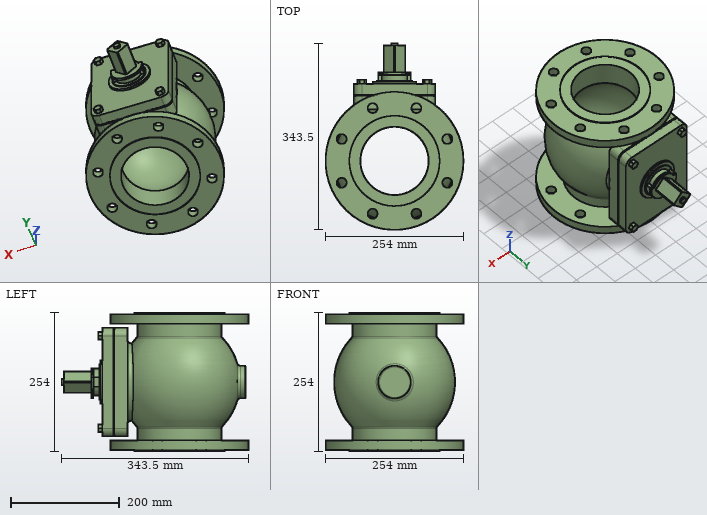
import cadquery as cq
import math

face_to_face = 254.0
bore_radius = 125.0 / 2
cavity_radius = 99.0
ball_radius = 111.5
meridian_radius = 118.0
meridian_centre = ball_radius - meridian_radius
neck_radius = 155.0 / 2
neck_fillet = 4.0

flange_radius = 254.0 / 2
flange_thickness = 18.0
raised_face_radius = 166.0 / 2
raised_face_height = 2.0
flange_hole_count = 8
flange_hole_diameter = 18.0
bolt_circle_radius = 105.0

boss_radius = 60.0 / 2
boss_end = 121.5
boss_root_fillet = 6.0
boss_edge_fillet = 2.0

bonnet_width = 150.0
bonnet_height = 200.0
bonnet_corner = 15.0
bonnet_start = 95.0
pad_thickness = 24.5
gasket_thickness = 2.0
gasket_inset = 3.0
cover_thickness = 20.0
gasket_start = bonnet_start + pad_thickness
cover_start = gasket_start + gasket_thickness
cover_front = cover_start + cover_thickness

throat_ball_radius = 72.6
throat_waist_radius = 71.6
throat_waist_y = 90.5
throat_pad_radius = 74.5

screw_inset = 15.0
screw_across_flats = 14.0
screw_head_height = 8.0

gland_base_radius = 80.0 / 2
gland_base_height = 4.0
gland_step_radius = 65.0 / 2
gland_step_height = 2.0
hub_radius = 25.0
hub_height = 10.0
ear_span = 60.0
ear_width = 18.0
gland_step_start = cover_front + gland_base_height
hub_start = gland_step_start + gland_step_height
hub_end = hub_start + hub_height

shaft_radius = 25.0 / 2
collar_gap = 1.0
collar_thickness = 4.0
square_side = 30.0
square_length = 50.0
square_edge_chamfer = 2.0
tip_radius = 12.0 / 2
tip_length = 4.0
collar_start = hub_end + collar_gap
square_start = collar_start + collar_thickness
square_end = square_start + square_length


def plate_y(width, height, corner, start, thickness):
    """Rectangular plate with rounded corners, lying across the stem axis."""
    plate = cq.Workplane("XZ", origin=(0, start, 0)).rect(width, height).extrude(-thickness)
    return plate.edges("|Y").fillet(corner)


def disc_y(radius, start, thickness):
    """Disc on the stem axis, growing towards +Y."""
    return cq.Workplane("XZ", origin=(0, start, 0)).circle(radius).extrude(-thickness)


def make_ball():
    """Ball and necks turned about the pipe axis, with the blind boss on the -Y side.

    The boss and both necks are blended into the ball, and the rim of the boss is rounded.
    """
    neck_end = face_to_face / 2 - raised_face_height
    seam = math.sqrt(meridian_radius**2 - (neck_radius - meridian_centre) ** 2)
    ball = (
        cq.Workplane("XZ")
        .moveTo(0, neck_end)
        .lineTo(neck_radius, neck_end)
        .lineTo(neck_radius, seam)
        .threePointArc((ball_radius, 0), (neck_radius, -seam))
        .lineTo(neck_radius, -neck_end)
        .lineTo(0, -neck_end)
        .close()
        .revolve(360, (0, 0, 0), (0, 1, 0))
    )
    neck_seams = cq.selectors.RadiusNthSelector(0)
    ball = ball.edges("%CIRCLE").edges("not(>Z or <Z)").edges(neck_seams).fillet(neck_fillet)
    ball = ball.union(disc_y(boss_radius, -boss_end, boss_end))
    boss_zone = cq.selectors.BoxSelector(
        (-ball_radius / 2, -boss_end - boss_root_fillet, -ball_radius / 2),
        (ball_radius / 2, -ball_radius / 2, ball_radius / 2),
        boundingbox=True,
    )
    ball = ball.edges(boss_zone).edges(">Y").fillet(boss_root_fillet)
    return ball.faces("<Y").edges().fillet(boss_edge_fillet)


def make_flange():
    """Upper pipe flange with its raised face and bolt holes."""
    face = face_to_face / 2 - raised_face_height
    back = face - flange_thickness
    flange = cq.Workplane("XY", origin=(0, 0, back)).circle(flange_radius).extrude(flange_thickness)
    holes = (
        cq.Workplane("XY", origin=(0, 0, back))
        .polarArray(bolt_circle_radius, 180 / flange_hole_count, 360, flange_hole_count)
        .circle(flange_hole_diameter / 2)
        .extrude(flange_thickness)
    )
    raised_face = cq.Workplane("XY", origin=(0, 0, face)).circle(raised_face_radius).extrude(raised_face_height)
    return flange.cut(holes).union(raised_face)


def make_throat():
    """Waisted neck joining the ball to the bonnet pad."""
    ball_contact = math.sqrt(ball_radius**2 - throat_ball_radius**2)
    return (
        cq.Workplane("XY")
        .lineTo(throat_ball_radius, 0)
        .lineTo(throat_ball_radius, ball_contact)
        .threePointArc((throat_waist_radius, throat_waist_y), (throat_pad_radius, bonnet_start))
        .lineTo(0, bonnet_start)
        .close()
        .revolve(360, (0, 0, 0), (0, 1, 0))
    )


def make_bonnet():
    """Pad, recessed gasket and cover with its four hexagon screw heads."""
    pad = plate_y(bonnet_width, bonnet_height, bonnet_corner, bonnet_start, pad_thickness)
    gasket = plate_y(
        bonnet_width - 2 * gasket_inset,
        bonnet_height - 2 * gasket_inset,
        bonnet_corner - gasket_inset,
        gasket_start,
        gasket_thickness,
    )
    cover = plate_y(bonnet_width, bonnet_height, bonnet_corner, cover_start, cover_thickness)
    across_corners = screw_across_flats / math.cos(math.pi / 6)
    screws = (
        cq.Workplane("XZ", origin=(0, cover_front, 0))
        .rect(bonnet_width - 2 * screw_inset, bonnet_height - 2 * screw_inset, forConstruction=True)
        .vertices()
        .polygon(6, across_corners)
        .extrude(-screw_head_height)
    )
    return pad.union(gasket).union(cover).union(screws)


def eared_disc(start, thickness):
    """Disc with two square-ended stop ears along X."""
    ears = cq.Workplane("XZ", origin=(0, start, 0)).rect(ear_span, ear_width).extrude(-thickness)
    return disc_y(hub_radius, start, thickness).union(ears)


def make_gland():
    """Two round steps and an eared hub around the stem."""
    base = disc_y(gland_base_radius, cover_front, gland_base_height)
    step = disc_y(gland_step_radius, gland_step_start, gland_step_height)
    return base.union(step).union(eared_disc(hub_start, hub_height))


def make_housing():
    """Complete valve housing, hollowed by the bore, the ball cavity and the stem socket."""
    upper_flange = make_flange()
    lower_flange = upper_flange.mirror("XY")
    housing = make_ball().union(upper_flange).union(lower_flange)
    housing = housing.union(make_throat()).union(make_bonnet()).union(make_gland())
    bore = cq.Workplane("XY").circle(bore_radius).extrude(face_to_face / 2, both=True)
    cavity = cq.Workplane("XY").sphere(cavity_radius)
    socket = disc_y(shaft_radius, cover_start, hub_end - cover_start)
    return housing.cut(bore).cut(cavity).cut(socket)


def make_stem():
    """Stem: round shaft, stop collar, diagonal square drive and round tip."""
    shaft = disc_y(shaft_radius, cover_start, collar_start - cover_start)
    stop_radius = ear_span / 2
    stop_half = (
        cq.Workplane("XZ", origin=(0, collar_start, 0))
        .moveTo(-stop_radius, 0)
        .threePointArc((0, -stop_radius), (stop_radius, 0))
        .close()
        .extrude(-collar_thickness)
    )
    upper_ears = (
        cq.Workplane("XZ", origin=(0, collar_start, 0))
        .rect(ear_span, ear_width / 2)
        .extrude(-collar_thickness)
        .translate((0, 0, ear_width / 4))
    )
    collar = disc_y(hub_radius, collar_start, collar_thickness).union(stop_half).union(upper_ears)
    square = (
        cq.Workplane("XZ", origin=(0, square_start, 0))
        .rect(square_side, square_side)
        .extrude(-square_length)
        .edges("|Y")
        .chamfer(square_edge_chamfer)
        .rotate((0, 0, 0), (0, 1, 0), 45)
    )
    tip = disc_y(tip_radius, square_end, tip_length)
    return shaft.union(collar).union(square).union(tip)


housing = make_housing()
stem = make_stem()

result = cq.Compound.makeCompound([housing.val(), stem.val()])